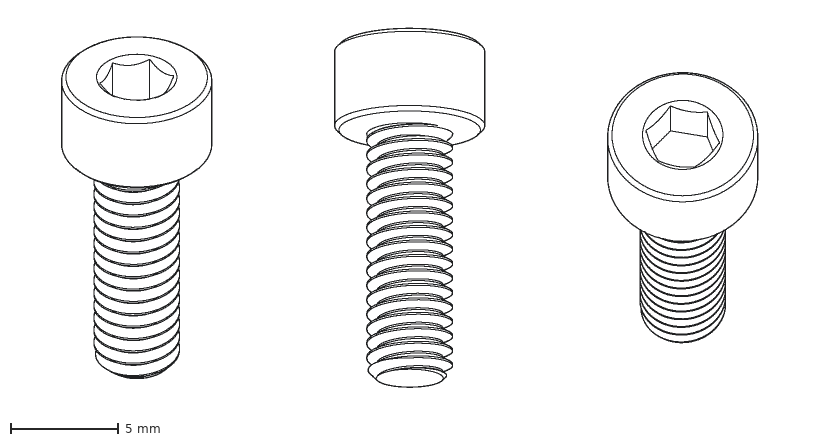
import cadquery as cq
import math

head_diameter = 7.0
head_height = 4.0
head_chamfer = 0.2

socket_flats = 3.02
socket_depth = 2.4
socket_mouth_diameter = 3.75

shank_diameter = 4.0
shank_length = 16.0 - head_height
neck_fillet = 0.2

pitch = shank_diameter * 0.7 / 4
crest_width = pitch / 8
root_width = pitch / 8
flank_angle = math.radians(30)
thread_depth = (pitch - crest_width - root_width) / 2 / math.tan(flank_angle)
first_crest_height = 0.58

shank_radius = shank_diameter / 2
root_radius = shank_radius - thread_depth
tip_chamfer = 0.43


def make_head():
    head = cq.Workplane("XY").circle(head_diameter / 2).extrude(head_height)
    return head.faces("<Z or >Z").edges().chamfer(head_chamfer)


def make_neck():
    """Neck filleted into the head, with a 45 degree cone below it that closes the thread groove."""
    outer_radius = shank_radius + neck_fillet
    arc_offset = neck_fillet * (1 - math.sqrt(0.5))
    return (
        cq.Workplane("XZ")
        .moveTo(0, -neck_fillet - shank_radius)
        .lineTo(shank_radius, -neck_fillet)
        .threePointArc((shank_radius + arc_offset, -arc_offset), (outer_radius, 0))
        .lineTo(outer_radius, head_chamfer)
        .lineTo(0, head_chamfer)
        .close()
        .revolve(360, (0, 0, 0), (0, 1, 0))
    )


def make_thread_envelope():
    """Clears the thread crests, and bounds the thread at the neck and by a 45 degree tip chamfer."""
    length = shank_length - neck_fillet
    clearance = 0.16
    return (
        cq.Workplane("XY", origin=(0, 0, -shank_length))
        .circle(shank_radius + clearance)
        .extrude(length)
        .faces("<Z")
        .chamfer(tip_chamfer + clearance)
    )


def make_thread_rod():
    """Threaded rod reaching past both ends of the thread, closed by a stepped helicoid at each end."""
    flank_height = thread_depth * math.tan(flank_angle)
    start = -shank_length + first_crest_height - 2 * pitch - root_width - flank_height - crest_width / 2
    turns = math.ceil(-start / pitch)

    outline = [
        (root_radius, 0),
        (root_radius, root_width),
        (shank_radius, root_width + flank_height),
        (shank_radius, root_width + flank_height + crest_width),
        (root_radius, pitch),
    ]

    def helix_turn(radius, height):
        return cq.Wire.makeHelix(pitch, pitch, radius, cq.Vector(0, 0, height)).Edges()[0]

    def end_faces(height):
        axis = cq.Edge.makeLine(cq.Vector(0, 0, height), cq.Vector(0, 0, height + pitch))
        helicoid = cq.Face.makeRuledSurface(helix_turn(root_radius, height), axis)
        corners = [(0, 0), *outline, (0, pitch)]
        step_points = [cq.Vector(radius, 0, height + rise) for radius, rise in corners]
        step = cq.Face.makeFromWires(cq.Wire.makePolygon(step_points, close=True))
        return [helicoid, step]

    faces = end_faces(start) + end_faces(start + turns * pitch)
    for turn in range(turns):
        base = start + turn * pitch
        for (lower_radius, lower), (upper_radius, upper) in zip(outline, outline[1:]):
            lower_edge = helix_turn(lower_radius, base + lower)
            upper_edge = helix_turn(upper_radius, base + upper)
            faces.append(cq.Face.makeRuledSurface(lower_edge, upper_edge))
    return cq.Workplane(cq.Solid.makeSolid(cq.Shell.makeShell(faces)))


def make_socket():
    """Hexagonal recess with corners on Y and a 45 degree conical lead-in."""
    corner_diameter = socket_flats / math.cos(math.radians(30))
    hexagon = (
        cq.Workplane("XY", origin=(0, 0, head_height - socket_depth))
        .transformed(rotate=(0, 0, 30))
        .polygon(6, corner_diameter)
        .extrude(socket_depth)
    )
    mouth_radius = socket_mouth_diameter / 2
    lead_in = cq.Workplane(
        cq.Solid.makeCone(mouth_radius, 0, mouth_radius, cq.Vector(0, 0, head_height), cq.Vector(0, 0, -1))
    )
    return hexagon.union(lead_in)


thread = make_thread_rod().intersect(make_thread_envelope())
result = make_head().cut(make_socket()).union(make_neck()).union(thread)